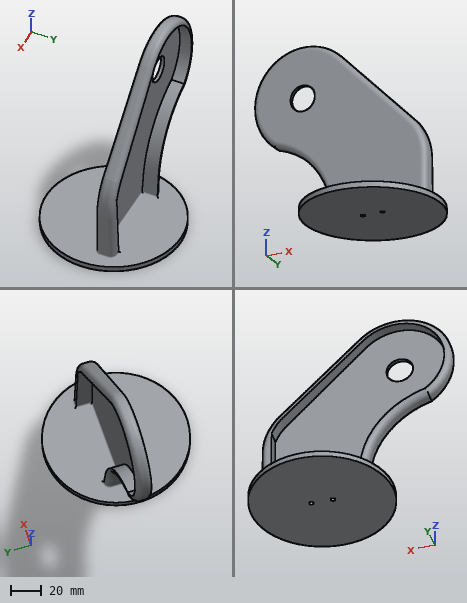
import cadquery as cq
import math

BASE_DIAMETER = 97.0
BASE_THICKNESS = 4.0
SCREW_HOLE_DIAMETER = 3.0
SCREW_HOLE_SPACING = 14.6

HEAD_RADIUS = 37.0
HEAD_X = -54.3
HEAD_Z = 92.3
PIN_HOLE_DIAMETER = 18.0
SLOPE_ANGLE = 45.0
RIGHT_X = 36.75
SHOULDER_RADIUS = 39.5
SHOULDER_Z = 37.4
SHOULDER_END_ANGLE = 41.0
HEAD_FAR_ANGLE = 140.0
THROAT_RADIUS = 56.8
THROAT_START_ANGLE = 234.1
THROAT_END_X = -35.0
THROAT_END_Z = 11.5
FOOT_LEAN = 10.0

FRONT_Y = 4.0
FOOT_DEPTH = 13.8
TOP_DEPTH = 10.0
EDGE_RADIUS = 4.0
FOOT_FILLET = 1.0

WEB_THICKNESS = 2.7
RIM_WIDTH = 4.6
RIGHT_RIM_WIDTH = 6.9

TOP_Z = HEAD_Z + HEAD_RADIUS
SHOULDER_X = RIGHT_X - SHOULDER_RADIUS
ROOT_Z = -10.0
MAX_DEPTH = 20.0
SELECTION_GAP = 0.1
OVERSIZE = 400.0


def point_on_circle(x, z, radius, angle):
    """Point in the XZ plane at an angle in degrees from +X."""
    return (x + radius * math.cos(math.radians(angle)), z + radius * math.sin(math.radians(angle)))


def arm_outline():
    """Closed arm outline on the front plane, continued below the base plate."""
    root_x = THROAT_END_X + (THROAT_END_Z - ROOT_Z) * math.tan(math.radians(FOOT_LEAN))
    return (
        cq.Workplane("XZ", origin=(0, FRONT_Y, 0))
        .moveTo(root_x, ROOT_Z)
        .lineTo(RIGHT_X, ROOT_Z)
        .lineTo(RIGHT_X, SHOULDER_Z)
        .threePointArc(
            point_on_circle(SHOULDER_X, SHOULDER_Z, SHOULDER_RADIUS, SHOULDER_END_ANGLE / 2),
            point_on_circle(SHOULDER_X, SHOULDER_Z, SHOULDER_RADIUS, SHOULDER_END_ANGLE),
        )
        .lineTo(*point_on_circle(HEAD_X, HEAD_Z, HEAD_RADIUS, SLOPE_ANGLE))
        .threePointArc(
            point_on_circle(HEAD_X, HEAD_Z, HEAD_RADIUS, HEAD_FAR_ANGLE),
            point_on_circle(HEAD_X, HEAD_Z, HEAD_RADIUS, THROAT_START_ANGLE),
        )
        .radiusArc((THROAT_END_X, THROAT_END_Z), THROAT_RADIUS)
        .close()
    )


def above_base():
    """Block that covers everything above the base plate."""
    return cq.Workplane("XY").workplane(offset=BASE_THICKNESS).rect(OVERSIZE, OVERSIZE).extrude(OVERSIZE)


def tapered_arm():
    """Arm with an upright front face, a leaning rear face and rounded edges."""
    taper = (FOOT_DEPTH - TOP_DEPTH) / (TOP_Z - BASE_THICKNESS)
    root_depth = FOOT_DEPTH + taper * (BASE_THICKNESS - ROOT_Z)
    side_section = (
        cq.Workplane("YZ", origin=(-OVERSIZE / 2, 0, 0))
        .polyline([
            (FRONT_Y, ROOT_Z),
            (FRONT_Y + root_depth, ROOT_Z),
            (FRONT_Y + TOP_DEPTH, TOP_Z),
            (FRONT_Y, TOP_Z),
        ])
        .close()
        .extrude(OVERSIZE)
    )
    arm = arm_outline().extrude(-MAX_DEPTH).intersect(side_section)
    front_and_rear = arm.faces("<Y or >Y")
    return front_and_rear.edges().fillet(EDGE_RADIUS)


def rear_recess():
    """Recess that leaves a thin front web and a rim around the arm."""
    recess = arm_outline().offset2D(-RIM_WIDTH).extrude(-MAX_DEPTH)
    recess = recess.translate((0, WEB_THICKNESS, 0))
    left_of_right_rim = cq.Workplane("XY").box(OVERSIZE, OVERSIZE, OVERSIZE).translate(
        (RIGHT_X - RIGHT_RIM_WIDTH - OVERSIZE / 2, 0, 0)
    )
    return recess.intersect(left_of_right_rim)


def base_plate():
    """Plain round plate."""
    return cq.Workplane("XY").circle(BASE_DIAMETER / 2).extrude(BASE_THICKNESS)


def screw_holes():
    """Pair of holes through the base plate, on the X axis."""
    return (
        cq.Workplane("XY")
        .pushPoints([(-SCREW_HOLE_SPACING / 2, 0), (SCREW_HOLE_SPACING / 2, 0)])
        .circle(SCREW_HOLE_DIAMETER / 2)
        .extrude(BASE_THICKNESS)
    )


def pin_hole():
    """Hole through the head, concentric with it."""
    return (
        cq.Workplane("XZ", origin=(HEAD_X, FRONT_Y, HEAD_Z))
        .circle(PIN_HOLE_DIAMETER / 2)
        .extrude(-MAX_DEPTH)
    )


def fillet_foot(part):
    """Fillet where the arm meets the top of the base plate, leaving the plate's rim sharp."""
    half_reach = BASE_DIAMETER / 2
    plate_top = cq.selectors.BoxSelector(
        (-half_reach, -half_reach, BASE_THICKNESS - SELECTION_GAP),
        (half_reach, half_reach, BASE_THICKNESS + SELECTION_GAP),
    )
    return part.faces(plate_top).edges("not %CIRCLE").fillet(FOOT_FILLET)


arm = tapered_arm().cut(rear_recess()).intersect(above_base())
part = fillet_foot(base_plate().union(arm))
result = part.cut(screw_holes()).cut(pin_hole())